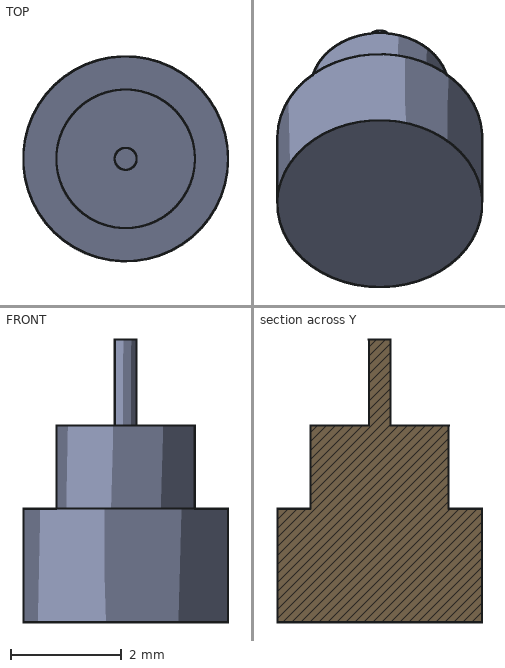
import cadquery as cq

total_height = 5.1
base_diameter = 3.7
base_height = 2.05
collar_diameter = 2.5
collar_height = 1.5
pin_diameter = 0.4
pin_height = total_height - base_height - collar_height


def add_cylinder(body, diameter, height):
    """Stack a coaxial cylinder on the top face of the body."""
    return body.faces(">Z").workplane().circle(diameter / 2).extrude(height)


base = cq.Workplane("XY").circle(base_diameter / 2).extrude(base_height)

base_with_collar = add_cylinder(base, collar_diameter, collar_height)
result = add_cylinder(base_with_collar, pin_diameter, pin_height)